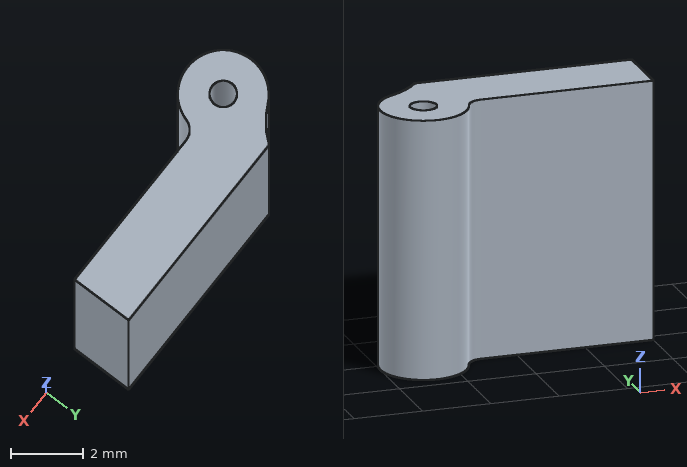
import cadquery as cq
import math

total_length = 8.0
height = 7.62
barrel_radius = 1.26
pin_hole_diameter = 0.76
plate_thickness = 1.9
inner_fillet_radius = 0.5
outer_blend_radius = 2.52

plate_end_x = total_length - barrel_radius
plate_corner_x = pin_hole_diameter / 2


def polar(radius, angle):
    """Point at a radius and angle (radians) about the barrel axis."""
    return radius * math.cos(angle), radius * math.sin(angle)


def arc_middle(center, start, end):
    """Middle of the shorter arc between two points on a circle."""
    radius = math.dist(center, start)
    toward_x = (start[0] + end[0]) / 2 - center[0]
    toward_y = (start[1] + end[1]) / 2 - center[1]
    scale = radius / math.hypot(toward_x, toward_y)
    return center[0] + scale * toward_x, center[1] + scale * toward_y


fillet_center_distance = barrel_radius + inner_fillet_radius
fillet_angle = -math.asin(inner_fillet_radius / fillet_center_distance)
fillet_center = polar(fillet_center_distance, fillet_angle)
fillet_start = (fillet_center[0], 0)
fillet_end = polar(barrel_radius, fillet_angle)

plate_corner = (plate_corner_x, plate_thickness)
corner_distance = math.hypot(*plate_corner)
blend_center_distance = barrel_radius + outer_blend_radius
corner_to_center_angle = math.acos(
    (corner_distance**2 + blend_center_distance**2 - outer_blend_radius**2)
    / (2 * corner_distance * blend_center_distance)
)
blend_angle = math.atan2(plate_thickness, plate_corner_x) + corner_to_center_angle
blend_center = polar(blend_center_distance, blend_angle)
blend_start = polar(barrel_radius, blend_angle)

barrel_middle_angle = (fillet_angle + blend_angle - 2 * math.pi) / 2

leaf = (
    cq.Workplane("XY")
    .moveTo(*plate_corner)
    .lineTo(plate_end_x, plate_thickness)
    .lineTo(plate_end_x, 0)
    .lineTo(*fillet_start)
    .threePointArc(arc_middle(fillet_center, fillet_start, fillet_end), fillet_end)
    .threePointArc(polar(barrel_radius, barrel_middle_angle), blend_start)
    .threePointArc(arc_middle(blend_center, blend_start, plate_corner), plate_corner)
    .close()
    .extrude(height)
)

pin_hole = cq.Workplane("XY").circle(pin_hole_diameter / 2).extrude(height)

result = leaf.cut(pin_hole)